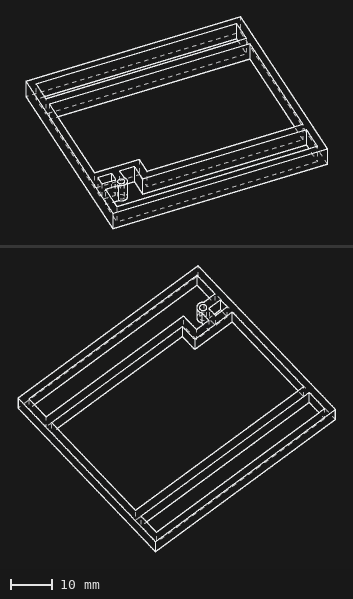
import cadquery as cq

length_x = 51.0
length_y = 56.0
height = 5.0
frame_wall = 1.85

bar_width = 2.1
left_bar_x = 7.55
right_bar_x = 40.7

step_wall = 1.85
step_x = 36.1
step_top_y = 13.5

boss_x = 41.5
boss_y = 6.4
boss_diameter = 3.0
hole_diameter = 1.7
rib_width = 2.1
rib_top_y = 7.55


def block(x_start, x_end, y_start, y_end):
    """Full-height block between two corners in plan."""
    return cq.Workplane("XY").box(
        x_end - x_start, y_end - y_start, height, centered=False
    ).translate((x_start, y_start, 0))


def cylinder(diameter):
    """Full-height cylinder on the boss axis."""
    return cq.Workplane("XY").center(boss_x, boss_y).circle(diameter / 2).extrude(height)


def make_frame():
    opening = block(frame_wall, length_x - frame_wall, frame_wall, length_y - frame_wall)
    return block(0, length_x, 0, length_y).cut(opening)


def make_left_bar():
    return block(left_bar_x, left_bar_x + bar_width, 0, length_y)


def make_stepped_bar():
    right_bar_end = right_bar_x + bar_width
    step_bottom_y = step_top_y - bar_width
    upright = block(right_bar_x, right_bar_end, step_bottom_y, length_y)
    crosspiece = block(step_x, right_bar_end, step_bottom_y, step_top_y)
    lower_leg = block(step_x, step_x + step_wall, 0, step_top_y)
    return upright.union(crosspiece).union(lower_leg)


def make_pin_boss():
    side_rib = block(step_x, boss_x, rib_top_y - rib_width, rib_top_y)
    lower_rib = block(boss_x - rib_width / 2, boss_x + rib_width / 2, 0, boss_y)
    return cylinder(boss_diameter).union(side_rib).union(lower_rib)


result = (
    make_frame()
    .union(make_left_bar())
    .union(make_stepped_bar())
    .union(make_pin_boss())
    .cut(cylinder(hole_diameter))
)